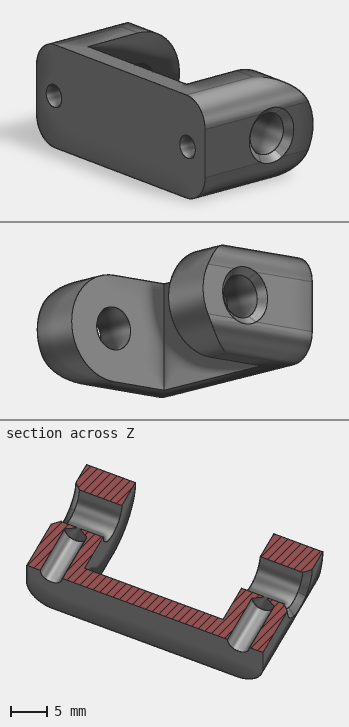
import cadquery as cq
import math

length = 36.0
depth = 19.5
height = 15.0

arm_thickness = 7.5
plate_thickness = 3.0
corner_radius = 4.0

pivot_diameter = 6.0
pivot_chamfer = 1.0

screw_diameter = 3.3
screw_depth = 8.0
drill_tip_angle = 118.0
tip_depth = screw_diameter / 2 / math.tan(math.radians(drill_tip_angle / 2))

arm_end_radius = height / 2
pivot_y = depth - arm_end_radius
arm_center_x = (length - arm_thickness) / 2


def rounded_bar():
    """Block with its four long edges, parallel to Y, rounded."""
    block = cq.Workplane("XY").box(length, depth, height).translate((0, depth / 2, 0))
    return block.edges("|Y").fillet(corner_radius)


def side_profile():
    """Side outline with a half-round end, extruded across the full length."""
    return (
        cq.Workplane("YZ", origin=(-length / 2, 0, 0))
        .moveTo(0, -height / 2)
        .lineTo(pivot_y, -height / 2)
        .threePointArc((depth, 0), (pivot_y, height / 2))
        .lineTo(0, height / 2)
        .close()
        .extrude(length)
    )


def arm_gap():
    """Open space between the two arms, behind the plate."""
    gap_depth = depth - plate_thickness
    gap = cq.Workplane("XY").box(length - 2 * arm_thickness, gap_depth, height)
    return gap.translate((0, plate_thickness + gap_depth / 2, 0))


def pivot_bore():
    """Cylinder through both arms, concentric with their rounded ends."""
    return (
        cq.Workplane("YZ", origin=(-length / 2, pivot_y, 0))
        .circle(pivot_diameter / 2)
        .extrude(length)
    )


def chamfer_pivot_rims(body):
    """Chamfer the outer rims of the pivot holes, following the rounded arm edges."""
    rims = body.faces("<X or >X").edges("%CIRCLE").edges(cq.selectors.RadiusNthSelector(0))
    return rims.chamfer(pivot_chamfer)


def screw_hole(side):
    """Blind drilled hole with a conical bottom, running from the plate into one arm."""
    x = side * arm_center_x
    inward = cq.Vector(0, 1, 0)
    bore = cq.Solid.makeCylinder(screw_diameter / 2, screw_depth, cq.Vector(x, 0, 0), inward)
    tip = cq.Solid.makeCone(screw_diameter / 2, 0, tip_depth, cq.Vector(x, screw_depth, 0), inward)
    return bore.fuse(tip)


bracket = rounded_bar().intersect(side_profile()).cut(arm_gap()).cut(pivot_bore())
result = chamfer_pivot_rims(bracket)
for side in (-1, 1):
    result = result.cut(cq.Workplane(screw_hole(side)))